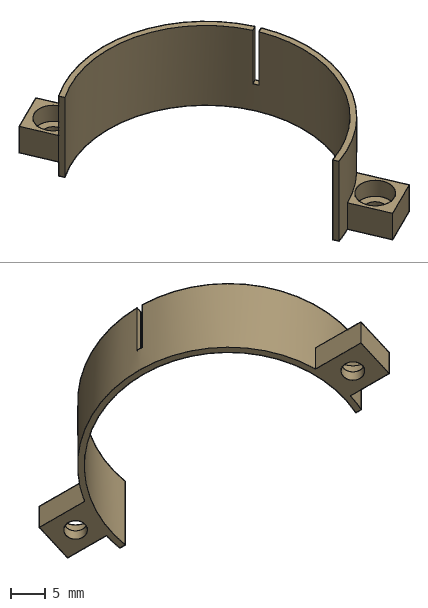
import cadquery as cq
import math

outer_radius = 22.0
wall = 1.0
inner_radius = outer_radius - wall
band_height = 15.0
end_drop = 3.0

slot_width = 0.9

overall_length = 58.0
ear_depth = 7.0
ear_height = 5.0
hole_spacing = 50.0
hole_diameter = 3.4
counterbore_diameter = 5.9
counterbore_depth = 3.0


def make_band():
    """Circular arc wall, cut flat at both ends."""
    end_angle = math.asin(end_drop / outer_radius)
    outer_end_x = outer_radius * math.cos(end_angle)
    inner_end_x = math.sqrt(inner_radius**2 - end_drop**2)
    return (
        cq.Workplane("XY")
        .moveTo(-outer_end_x, -end_drop)
        .threePointArc((0, outer_radius), (outer_end_x, -end_drop))
        .lineTo(inner_end_x, -end_drop)
        .threePointArc((0, inner_radius), (-inner_end_x, -end_drop))
        .close()
        .extrude(band_height)
    )


def make_ears():
    """Counterbored blocks on both sides, overlapping the band up to mid-wall."""
    mid_wall_cylinder = cq.Workplane("XY").circle(outer_radius - wall / 2).extrude(ear_height)
    blocks = (
        cq.Workplane("XY")
        .rect(overall_length, ear_depth)
        .extrude(ear_height)
        .translate((0, ear_depth / 2, 0))
        .cut(mid_wall_cylinder)
    )
    half_spacing = hole_spacing / 2
    hole_y = ear_depth / 2
    return (
        blocks.faces(">Z")
        .workplane(origin=(0, 0, ear_height))
        .pushPoints([(-half_spacing, hole_y), (half_spacing, hole_y)])
        .cboreHole(hole_diameter, counterbore_diameter, counterbore_depth)
    )


def make_slot():
    """Narrow cut through the crown, from the top edge down to ear height."""
    return (
        cq.Workplane("XY")
        .workplane(offset=ear_height)
        .center(0, outer_radius - wall / 2)
        .rect(slot_width, 2 * wall)
        .extrude(band_height - ear_height)
    )


result = make_band().union(make_ears()).cut(make_slot())